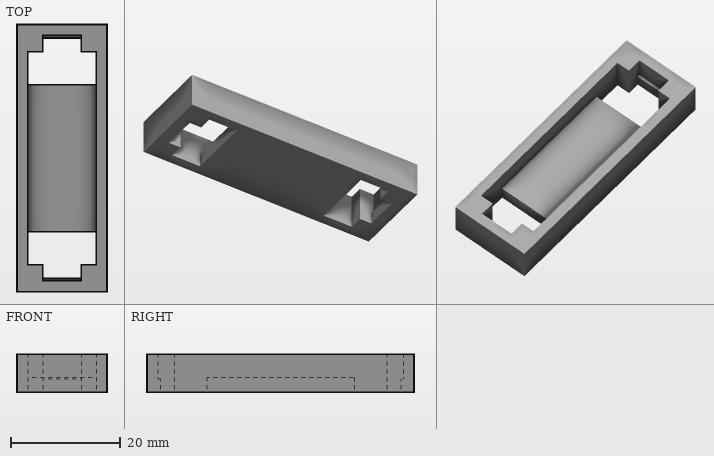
import cadquery as cq

width = 16.5
length = 49.0
height = 7.0

wall = 2.0
notch_width = 7.0
notch_depth = 3.0
cavity_width = width - 2 * wall
notch_span = length - 2 * wall
cavity_length = notch_span - 2 * notch_depth

floor_length = 27.0
floor_thickness = 2.8

ledge_depth = 0.5
ledge_height = 2.45


def block(size_x, size_y, size_z, center_y=0.0):
    """Box standing on Z = 0, centred on X = 0 and on the given Y."""
    return (
        cq.Workplane("XY")
        .center(0, center_y)
        .box(size_x, size_y, size_z, centered=(True, True, False))
    )


def make_frame():
    """Rectangular ring whose opening has a notch at each end."""
    cavity = block(cavity_width, cavity_length, height)
    notches = block(notch_width, notch_span, height)
    return block(width, length, height).cut(cavity).cut(notches)


def add_floor(body):
    """Plate joining the two long walls."""
    return body.union(block(cavity_width, floor_length, floor_thickness))


def add_ledges(body):
    """Low step against the end wall of each notch."""
    ledge_y = (notch_span - ledge_depth) / 2
    for side in (-1, 1):
        body = body.union(block(notch_width, ledge_depth, ledge_height, side * ledge_y))
    return body


result = add_ledges(add_floor(make_frame()))